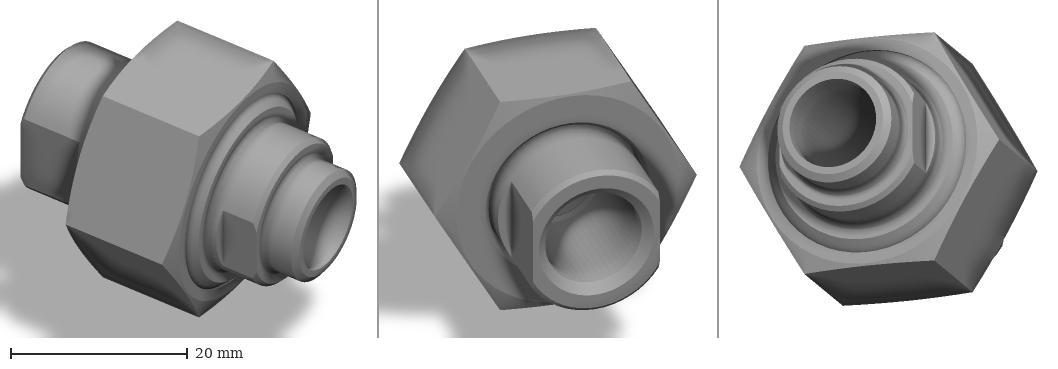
import math

import cadquery as cq


overall_length = 36.5
nut_start = 10.48
nut_length = 14.5
nut_end = nut_start + nut_length
lip_end = nut_start + 2.92
joint = lip_end + 2.55
flange_end = 25.95
collar_end = 32.05

across_flats = 27.0
across_corners = across_flats / math.cos(math.radians(30))
nut_face_diameter = 26.5
nut_bevel_length = 0.75
lip_hole_diameter = 18.5
lip_chamfer = 0.5
recess_diameter = 22.37
thread_diameter = 23.85

tail_diameter = 18.0
tail_flange_diameter = 22.0
tail_bore_diameter = 11.45
tail_bore_mouth_diameter = 13.7
tail_bore_mouth_depth = 1.1
tail_bore_end_diameter = 10.6
tail_bore_taper = 0.45
tail_flat_width = 15.07
tail_flat_end = 7.95

flange_chamfer = 1.28
collar_diameter = tail_diameter
spigot_diameter = 13.7
spigot_end_diameter = 12.05
spigot_bevel = 0.55
threaded_piece_bore = 10.4
collar_flat_width = 16.0
collar_flat_start = 27.52

edge_chamfer = 0.5
root_radius = 0.88
root_length = 0.75
flat_wall_angle = 15.0
cutter_overshoot = 0.35


def revolve_about_x(outline):
    """Close an outline of (x, radius) points and turn it about the X axis."""
    return outline.close().revolve(360, (0, 0, 0), (1, 0, 0))


def turned(points):
    return revolve_about_x(cq.Workplane("XY").polyline(points))


def root_arc(outline, wall_x, radius):
    """Run down a wall at wall_x and sweep an arc into the cylinder of the given radius."""
    def height(run):
        return radius + root_radius - math.sqrt(root_radius**2 - run**2)

    outline = outline.lineTo(wall_x, height(root_length))
    middle = (wall_x + root_length / 2, height(root_length / 2))
    return outline.threePointArc(middle, (wall_x + root_length, radius))


def wrench_flat_cutters(width, end_x, wall_x, diameter):
    """Two mirrored cutters that leave flats from end_x to a leaning wall starting at wall_x."""
    inner = width / 2
    outer = diameter / 2 + cutter_overshoot
    lean = math.tan(math.radians(flat_wall_angle)) * (outer - inner)
    wall_top_x = wall_x + math.copysign(lean, wall_x - end_x)
    side = (
        cq.Workplane("XY")
        .polyline([(end_x, inner), (wall_x, inner), (wall_top_x, outer), (end_x, outer)])
        .close()
        .extrude(diameter / 2, both=True)
    )
    return side.union(side.mirror("XZ"))


def make_nut():
    hexagon = (
        cq.Workplane("YZ", origin=(nut_start, 0, 0))
        .polygon(6, across_corners)
        .extrude(nut_length)
    )
    face_radius = nut_face_diameter / 2
    corner_radius = across_corners / 2
    bevelled_envelope = turned([
        (nut_start, 0),
        (nut_start, face_radius),
        (nut_start + nut_bevel_length, corner_radius),
        (nut_end - nut_bevel_length, corner_radius),
        (nut_end, face_radius),
        (nut_end, 0),
    ])
    lip_radius = lip_hole_diameter / 2
    cavity = turned([
        (nut_start, 0),
        (nut_start, lip_radius + lip_chamfer),
        (nut_start + lip_chamfer, lip_radius),
        (lip_end, lip_radius),
        (lip_end, recess_diameter / 2),
        (joint, recess_diameter / 2),
        (joint, thread_diameter / 2),
        (nut_end, thread_diameter / 2),
        (nut_end, 0),
    ])
    return hexagon.intersect(bevelled_envelope).cut(cavity)


def make_tailpiece():
    radius = tail_diameter / 2
    body = turned([
        (0, tail_bore_mouth_diameter / 2),
        (0, radius - edge_chamfer),
        (edge_chamfer, radius),
        (lip_end, radius),
        (lip_end, tail_flange_diameter / 2),
        (joint, tail_flange_diameter / 2),
        (joint, tail_bore_end_diameter / 2),
        (joint - tail_bore_taper, tail_bore_diameter / 2),
        (tail_bore_mouth_depth, tail_bore_diameter / 2),
    ])
    return body.cut(wrench_flat_cutters(tail_flat_width, 0, tail_flat_end, tail_diameter))


def make_threaded_piece():
    bore_radius = threaded_piece_bore / 2
    flange_radius = thread_diameter / 2
    collar_radius = collar_diameter / 2
    spigot_radius = spigot_diameter / 2
    outline = (
        cq.Workplane("XY")
        .moveTo(joint, bore_radius)
        .lineTo(joint, flange_radius)
        .lineTo(flange_end - flange_chamfer, flange_radius)
        .lineTo(flange_end, flange_radius - flange_chamfer)
    )
    outline = root_arc(outline, flange_end, collar_radius)
    outline = (
        outline
        .lineTo(collar_end - edge_chamfer, collar_radius)
        .lineTo(collar_end, collar_radius - edge_chamfer)
    )
    outline = root_arc(outline, collar_end, spigot_radius)
    outline = (
        outline
        .lineTo(overall_length - spigot_bevel, spigot_radius)
        .lineTo(overall_length, spigot_end_diameter / 2)
        .lineTo(overall_length, bore_radius)
    )
    flats = wrench_flat_cutters(collar_flat_width, collar_end, collar_flat_start, collar_diameter)
    return revolve_about_x(outline).cut(flats)


nut = make_nut()
tailpiece = make_tailpiece()
threaded_piece = make_threaded_piece()

result = cq.Compound.makeCompound([nut.val(), tailpiece.val(), threaded_piece.val()])